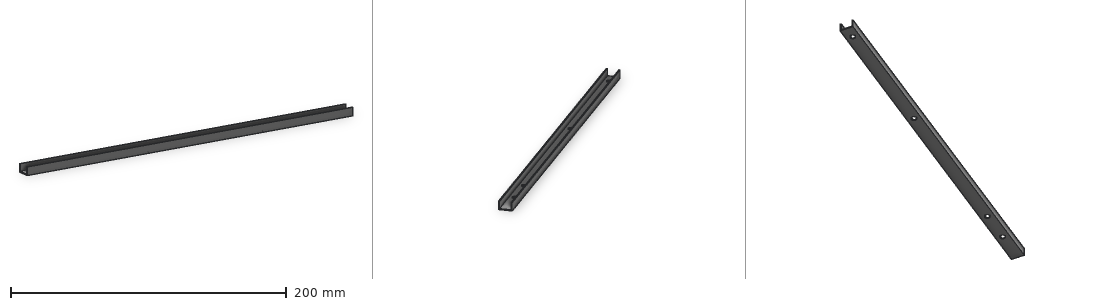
import cadquery as cq

width = 10.5
length = 280.0
height = 6.5
wall_thickness = 1.0

hole_diameter = 4.2
hole_distances = (10.0, 110.0, 230.0, 255.0)


def make_channel():
    """Straight U channel, open upwards, running along Y and centred in X and Y."""
    outer = cq.Workplane("XY").box(width, length, height, centered=(True, True, False))
    inner_width = width - 2 * wall_thickness
    cavity = (
        cq.Workplane("XY")
        .workplane(offset=wall_thickness)
        .box(inner_width, length, height - wall_thickness, centered=(True, True, False))
    )
    return outer.cut(cavity)


def drill_floor_holes(channel):
    """Cut the row of round holes along the centreline of the floor."""
    centres = [(0, distance - length / 2) for distance in hole_distances]
    drills = (
        cq.Workplane("XY")
        .pushPoints(centres)
        .circle(hole_diameter / 2)
        .extrude(wall_thickness)
    )
    return channel.cut(drills)


result = drill_floor_holes(make_channel())